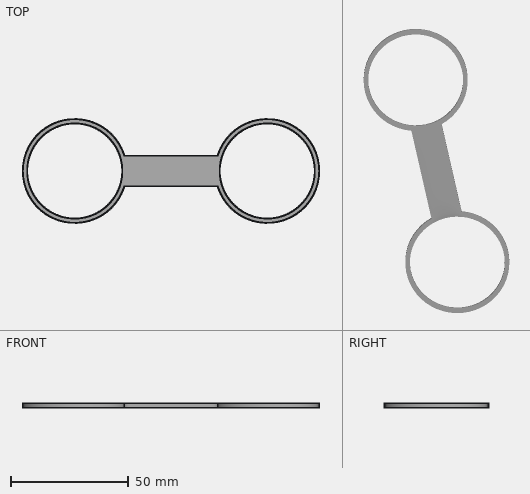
import cadquery as cq

overall_length = 126.5
ring_outer_diameter = 44.4
ring_inner_diameter = 40.5
thickness = 2.0
bridge_width = 13.2

ring_spacing = overall_length - ring_outer_diameter
ring_centers = [(-ring_spacing / 2, 0), (ring_spacing / 2, 0)]


def discs(diameter):
    """One solid disc at each ring center."""
    return cq.Workplane("XY").pushPoints(ring_centers).circle(diameter / 2).extrude(thickness)


bridge = cq.Workplane("XY").rect(ring_spacing, bridge_width).extrude(thickness)

result = discs(ring_outer_diameter).union(bridge).cut(discs(ring_inner_diameter))